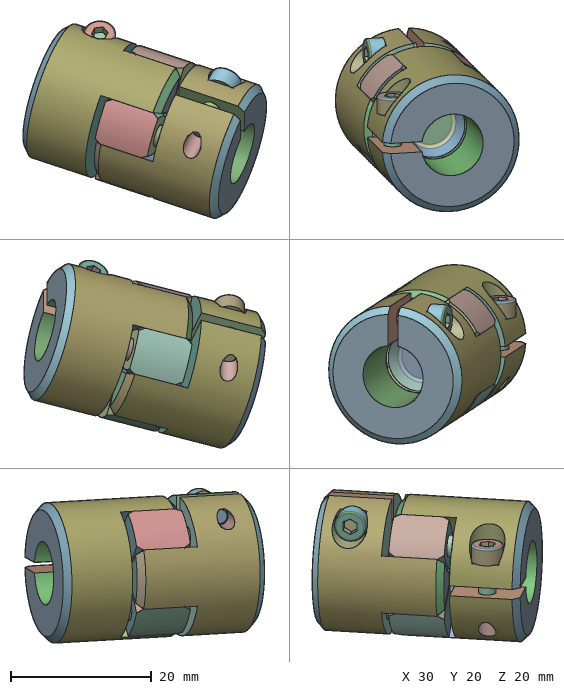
import cadquery as cq
import math


overall_length = 30.0
outer_radius = 20.0 / 2
hub_length = 10.02
spider_length = 8.0
face_gap = (overall_length - 2 * hub_length - spider_length) / 2
middle_x = overall_length / 2
leg_count = 4

bore_radius = 4.5
slit_width = 1.5
edge_chamfer = 1.0
jaw_inner_height = 4.98
jaw_length = face_gap + spider_length

screw_x = hub_length / 2
screw_offset = 7.5
shank_radius = 2.5 / 2
shank_length = 8.0
tip_chamfer = 0.25
head_radius = 2.25
head_height = 2.5
head_fillet = 0.25
seat_height = 4.0
counterbore_radius = 5.0 / 2
hex_flats = 2.0
hex_depth = 1.25

core_radius = 4.77
flank_radius = 10.5
leg_half_width = 3.45
leg_widest_at = 8.0
leg_root = 3.9
flank_chamfer_depth = 0.5
flank_chamfer_length = 0.9
stud_circle_radius = 7.0
stud_radius = 1.6
stud_height = 0.75
recess_mouth_radius = 4.5
recess_floor_radius = 3.42
recess_depth = 1.85
recess_fillet = 0.6


def flank_half_width(distance):
    """Half width of a spider leg at a distance from the coupling axis."""
    drop = flank_radius - math.sqrt(flank_radius**2 - (distance - leg_widest_at) ** 2)
    return leg_half_width - drop


def leg_quarter(half_length):
    """Quarter of a barrel-sided leg along +Y: its +X, +Z side, running past the outer radius."""
    end = outer_radius + edge_chamfer
    return (
        cq.Workplane("YZ")
        .moveTo(leg_root, 0)
        .lineTo(end, 0)
        .lineTo(end, flank_half_width(end))
        .threePointArc((leg_widest_at, leg_half_width), (leg_root, flank_half_width(leg_root)))
        .close()
        .extrude(half_length)
    )


def mirrored_leg(quarter):
    """Whole leg, symmetric about the XY and YZ planes."""
    half = quarter.union(quarter.mirror("XY"))
    return half.union(half.mirror("YZ"))


def leg_angles():
    return [(index + 0.5) * 360 / leg_count for index in range(leg_count)]


def around_axis(shape, angle):
    return shape.rotate((0, 0, 0), (1, 0, 0), angle)


def make_jaws():
    """Two opposite jaws at +Z and -Z, with a flat inner side and flanks that follow the spider legs."""
    tip_x = hub_length + jaw_length
    blank = cq.Workplane("YZ").circle(outer_radius).extrude(tip_x).faces(">X").chamfer(edge_chamfer)
    upper_sector = (
        cq.Workplane("YZ", origin=(hub_length, 0, 0))
        .moveTo(jaw_inner_height, jaw_inner_height)
        .lineTo(outer_radius, outer_radius)
        .lineTo(-outer_radius, outer_radius)
        .lineTo(-jaw_inner_height, jaw_inner_height)
        .close()
        .extrude(jaw_length)
    )
    sectors = upper_sector.union(upper_sector.mirror("XY"))
    jaws = blank.intersect(sectors)
    leg_space = mirrored_leg(leg_quarter(overall_length))
    for angle in leg_angles():
        jaws = jaws.cut(around_axis(leg_space, angle))
    return jaws


def make_hub():
    """Hub at the -X end, slit towards +Y and clamped by a screw along Z."""
    body = (
        cq.Workplane("YZ")
        .circle(outer_radius)
        .extrude(hub_length)
        .faces("<X")
        .chamfer(edge_chamfer)
        .union(make_jaws())
    )
    bore = cq.Workplane("YZ").circle(bore_radius).extrude(hub_length)
    slit = cq.Workplane("XY").box(hub_length, outer_radius, slit_width, centered=(False, False, True))
    screw_axis = cq.Workplane("XY", origin=(screw_x, screw_offset, 0))
    screw_hole = screw_axis.circle(shank_radius).extrude(outer_radius, both=True)
    counterbore = (
        screw_axis.workplane(offset=seat_height).circle(counterbore_radius).extrude(outer_radius)
    )
    return body.cut(bore).cut(slit).cut(screw_hole).cut(counterbore)


def make_screw():
    """Socket head screw seated in the hub at the -X end, pointing down."""
    seat = cq.Workplane("XY", origin=(screw_x, screw_offset, seat_height))
    head = seat.circle(head_radius).extrude(head_height).faces(">Z").edges().fillet(head_fillet)
    shank = seat.circle(shank_radius).extrude(-shank_length).faces("<Z").chamfer(tip_chamfer)
    hex_circumscribed = hex_flats / math.cos(math.pi / 6)
    socket = (
        seat.workplane(offset=head_height)
        .transformed(rotate=(0, 0, 90))
        .polygon(6, hex_circumscribed)
        .extrude(-hex_depth)
    )
    return head.union(shank).cut(socket)


def make_leg():
    """One spider leg along +Y with chamfered flank ends."""
    quarter = (
        leg_quarter(spider_length / 2)
        .faces(">X")
        .edges("%CIRCLE")
        .chamfer(flank_chamfer_length, flank_chamfer_depth)
    )
    envelope = cq.Workplane("YZ").circle(outer_radius).extrude(spider_length, both=True)
    return mirrored_leg(quarter).intersect(envelope)


def make_stud():
    """Round spacer on the +X end face of a leg that points along +Y."""
    return (
        cq.Workplane("YZ", origin=(spider_length / 2, stud_circle_radius, 0))
        .circle(stud_radius)
        .extrude(stud_height)
    )


def make_recess():
    """Conical dish with a rounded floor, open towards -X at X = 0."""
    return (
        cq.Workplane("XY")
        .polyline([
            (0, 0),
            (0, recess_mouth_radius),
            (recess_depth, recess_floor_radius),
            (recess_depth, 0),
        ])
        .close()
        .revolve(360, (0, 0, 0), (1, 0, 0))
        .faces(">X")
        .edges()
        .fillet(recess_fillet)
    )


def make_spider():
    spider = cq.Workplane("YZ").circle(core_radius).extrude(spider_length / 2, both=True)
    leg = make_leg()
    right_stud = make_stud()
    left_stud = right_stud.mirror("YZ")
    for index, angle in enumerate(leg_angles()):
        stud = right_stud if index % 2 else left_stud
        spider = spider.union(around_axis(leg, angle)).union(around_axis(stud, angle))
    left_recess = make_recess().translate((-spider_length / 2, 0, 0))
    spider = spider.cut(left_recess).cut(left_recess.mirror("YZ"))
    return spider.translate((middle_x, 0, 0))


def to_far_end(shape):
    """Half turn about the diagonal between +Y and +Z through the middle of the coupling."""
    return shape.rotate((middle_x, 0, 0), (middle_x, 0.3, 0.3), 180)


hub = make_hub()
screw = make_screw()
hubs = [hub, to_far_end(hub)]
screws = [screw, to_far_end(screw)]
spider = make_spider()

result = cq.Compound.makeCompound([body.val() for body in hubs + screws + [spider]])